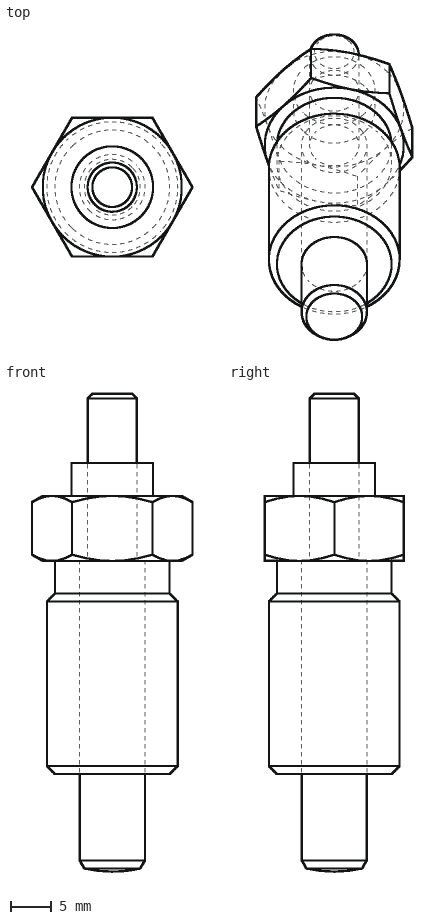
import cadquery as cq
import math


pin_length = 58.4
pin_nose_radius = 8.0 / 2
pin_stem_radius = 6.0 / 2
stem_chamfer = 0.6
nose_dome_radius = 15.0
nose_taper_inset = 0.6
nose_taper_height = 1.0

barrel_radius = 16.0 / 2
neck_radius = 14.0 / 2
collar_radius = 10.0 / 2
hex_across_flats = 17.0
hex_chamfer_angle = 30.0
barrel_bottom_chamfer = 1.0
barrel_top_chamfer = barrel_radius - neck_radius

housing_bottom = 11.9
barrel_top = 34.0
hex_bottom = 37.95
hex_top = 45.9
collar_top = 49.95
pin_step = hex_bottom


def cylinder(radius, bottom, top):
    return cq.Workplane("XY").workplane(offset=bottom).circle(radius).extrude(top - bottom)


def make_pin():
    """Nose with a domed tip and a steep conical edge, narrowing to a chamfered stem."""
    dome_rim_radius = pin_nose_radius - nose_taper_inset
    dome_half_angle = math.asin(dome_rim_radius / nose_dome_radius)

    def dome_point(angle):
        return (nose_dome_radius * math.sin(angle), nose_dome_radius * (1 - math.cos(angle)))

    dome_rim = dome_point(dome_half_angle)
    taper_top = dome_rim[1] + nose_taper_height
    return (
        cq.Workplane("XZ")
        .moveTo(0, 0)
        .threePointArc(dome_point(dome_half_angle / 2), dome_rim)
        .lineTo(pin_nose_radius, taper_top)
        .lineTo(pin_nose_radius, pin_step)
        .lineTo(pin_stem_radius, pin_step)
        .lineTo(pin_stem_radius, pin_length - stem_chamfer)
        .lineTo(pin_stem_radius - stem_chamfer, pin_length)
        .lineTo(0, pin_length)
        .close()
        .revolve(360, (0, 0, 0), (0, 1, 0))
    )


def make_hexagon():
    """Hexagon with flats facing +Y and -Y, its corners turned off conically at both ends."""
    flat_radius = hex_across_flats / 2
    corner_radius = flat_radius / math.cos(math.pi / 6)
    corner_drop = (corner_radius - flat_radius) * math.tan(math.radians(hex_chamfer_angle))
    hexagon = (
        cq.Workplane("XY")
        .workplane(offset=hex_bottom)
        .polygon(6, 2 * corner_radius)
        .extrude(hex_top - hex_bottom)
    )
    turned_envelope = (
        cq.Workplane("XZ")
        .moveTo(0, hex_bottom)
        .lineTo(flat_radius, hex_bottom)
        .lineTo(corner_radius, hex_bottom + corner_drop)
        .lineTo(corner_radius, hex_top - corner_drop)
        .lineTo(flat_radius, hex_top)
        .lineTo(0, hex_top)
        .close()
        .revolve(360, (0, 0, 0), (0, 1, 0))
    )
    return hexagon.intersect(turned_envelope)


def make_housing():
    """Barrel, neck, hexagon and collar with a stepped bore that fits the pin."""
    barrel = cylinder(barrel_radius, housing_bottom, barrel_top)
    barrel = barrel.faces("<Z").chamfer(barrel_bottom_chamfer)
    barrel = barrel.faces(">Z").chamfer(barrel_top_chamfer)
    neck = cylinder(neck_radius, barrel_top, hex_bottom)
    collar = cylinder(collar_radius, hex_top, collar_top)
    outside = barrel.union(neck).union(make_hexagon()).union(collar)
    nose_bore = cylinder(pin_nose_radius, housing_bottom, pin_step)
    stem_bore = cylinder(pin_stem_radius, pin_step, collar_top)
    return outside.cut(nose_bore).cut(stem_bore)


housing = make_housing()
pin = make_pin()

result = cq.Compound.makeCompound([*housing.solids().vals(), pin.val()])